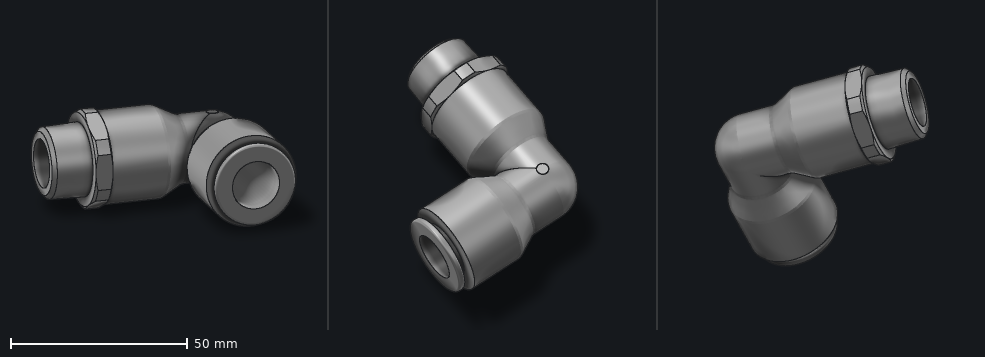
import cadquery as cq
import math

neck_radius = 10.0
body_radius = 13.5
bore_radius = 7.05
cone_start = 10.45
cone_end = 17.25
cone_blend_radius = 2.0

socket_end = 34.2
collar_radius = 8.6
flange_radius = 12.0
flange_start = 36.25
flange_end = 38.3
flange_inner_round = 0.65
flange_outer_round = 0.7

hex_start = 34.3
hex_end = 39.4
hex_across_flats = 2 * body_radius
hex_corner_radius = 14.5
hex_chamfer_length = 0.6
thread_start_radius = 10.7
thread_end_radius = 10.4
thread_end = 51.1
tip_chamfer_length = 1.15
tip_radius = 9.2

badge_radius = 1.75
badge_height = 0.1


def turned(*profile):
    """Solid of revolution about the X axis, from its (distance, radius) points."""
    start = (profile[0][0], 0)
    end = (profile[-1][0], 0)
    return cq.Workplane("XY").polyline([start, *profile, end]).close().revolve(360, (0, 0), (1, 0))


def cylinder(start, end, radius):
    return turned((start, radius), (end, radius))


def ring_edge(distance, radius):
    """Selector for the circular edge centred on the X axis at this distance."""
    margin = 0.05
    return cq.selectors.BoxSelector(
        (distance - margin, -radius, -radius),
        (distance + margin, radius, radius),
    )


def branch_body(end):
    """Neck, flared cone and straight body, with both ends of the cone blended."""
    body = turned(
        (0, neck_radius),
        (cone_start, neck_radius),
        (cone_end, body_radius),
        (end, body_radius),
    )
    for distance in (cone_start, cone_end):
        body = body.edges(ring_edge(distance, body_radius)).fillet(cone_blend_radius)
    return body


def release_ring():
    """Collar and rounded flange of the push-in end."""
    flange = cylinder(flange_start, flange_end, flange_radius)
    flange = flange.edges(ring_edge(flange_start, flange_radius)).fillet(flange_inner_round)
    flange = flange.edges(ring_edge(flange_end, flange_radius)).fillet(flange_outer_round)
    return cylinder(socket_end, flange_start, collar_radius).union(flange)


def hexagon():
    """Hexagon with corners at +Z and -Z, turned round and chamfered on both faces."""
    prism = (
        cq.Workplane("YZ", origin=(hex_start, 0, 0))
        .polygon(6, hex_across_flats / math.cos(math.pi / 6))
        .extrude(hex_end - hex_start)
        .rotate((0, 0, 0), (1, 0, 0), 90)
    )
    envelope = turned(
        (hex_start, body_radius),
        (hex_start + hex_chamfer_length, hex_corner_radius),
        (hex_end - hex_chamfer_length, hex_corner_radius),
        (hex_end, body_radius),
    )
    return prism.intersect(envelope)


def thread_shank():
    """Slightly tapered shank with a chamfered tip."""
    return turned(
        (hex_end, thread_start_radius),
        (thread_end - tip_chamfer_length, thread_end_radius),
        (thread_end, tip_radius),
    )


def toward_minus_y(shape):
    """Swing a branch built along +X round to -Y."""
    return shape.rotate((0, 0, 0), (0, 0, 1), -90)


push_in_branch = branch_body(socket_end).union(release_ring())
threaded_branch = branch_body(hex_start).union(hexagon()).union(thread_shank())
corner = cq.Workplane("XY").sphere(neck_radius)
badge = cq.Workplane("XY").circle(badge_radius).extrude(neck_radius + badge_height)
outside = push_in_branch.union(toward_minus_y(threaded_branch)).union(corner).union(badge)

bore = (
    cylinder(0, flange_end, bore_radius)
    .union(toward_minus_y(cylinder(0, thread_end, bore_radius)))
    .union(cq.Workplane("XY").sphere(bore_radius))
)

result = outside.cut(bore)